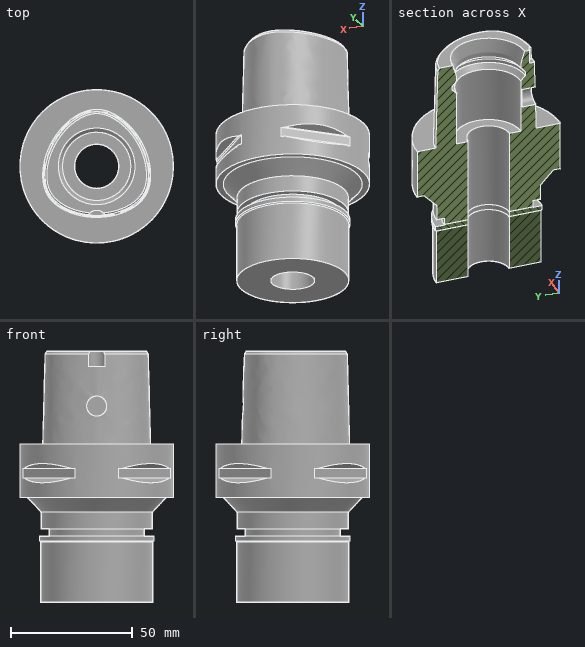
import cadquery as cq
import math


TOTAL_HEIGHT = 103.0
SHANK_LENGTH = 38.0
FLANGE_THICKNESS = 22.0
CONE_HEIGHT = 6.0
NUT_HEIGHT = 24.8
COLLAR_TOP_Z = 27.2
NECK_TOP_Z = 30.2
FLANGE_TOP_Z = TOTAL_HEIGHT - SHANK_LENGTH
FLANGE_BOTTOM_Z = FLANGE_TOP_Z - FLANGE_THICKNESS
CONE_BOTTOM_Z = FLANGE_BOTTOM_Z - CONE_HEIGHT

FLANGE_DIAMETER = 63.0
CONE_TOP_DIAMETER = 57.0
BODY_DIAMETER = 45.7
NECK_DIAMETER = 39.0
COLLAR_DIAMETER = 47.0
COLLAR_BEVEL = 0.5
NUT_DIAMETER = COLLAR_DIAMETER - 2 * COLLAR_BEVEL

SHANK_BASE_DIAMETER = 44.3
SHANK_TAPER = 1 / 20
LOBE_AMPLITUDE = 1.2
SHANK_BEVEL_HEIGHT = 1.2
SHANK_BEVEL_INSET = 0.8

THROUGH_BORE_RADIUS = 9.0
MOUTH_RADIUS = 15.7
CAVITY_RADIUS = 14.0
GROOVE_RADIUS = 16.0
MOUTH_CONE_DEPTH = 5.9
LIP_DEPTH = 7.9
GROOVE_START_DEPTH = 10.1
GROOVE_END_DEPTH = 11.8
GROOVE_CONE_END_DEPTH = 13.9
CAVITY_FLOOR_DEPTH = SHANK_LENGTH

NOTCH_RADIUS = 3.9
NOTCH_INNER_REACH = 18.0
NOTCH_DEPTH = 6.2
SIDE_HOLE_DIAMETER = 8.2
SIDE_HOLE_Z = 80.5
SIDE_HOLE_FLOOR_Y = -14.8

SLOT_COUNT = 4
SLOT_FIRST_ANGLE = 45.0
SLOT_Z = 53.0
SLOT_WIDTH = 4.0
SLOT_MOUTH_WIDTH = 7.9
SLOT_FLOOR_REACH = 27.7
SLOT_FLARE_REACH = 28.5


def revolve_profile(points):
    """Revolve an (r, z) outline about the Z axis."""
    return cq.Workplane("XZ").polyline(points).close().revolve(360, (0, 0, 0), (0, 1, 0))


def through_bore():
    return cq.Workplane("XY").circle(THROUGH_BORE_RADIUS).extrude(TOTAL_HEIGHT)


def lobed_wire(mean_radius, z):
    """Constant-width three-lobed curve with one lobe pointing along +Y."""
    def point(t):
        turn = 2 * math.pi * t
        along = (mean_radius * math.cos(turn) + 2 * LOBE_AMPLITUDE * math.cos(2 * turn)
                 - LOBE_AMPLITUDE * math.cos(4 * turn))
        across = (mean_radius * math.sin(turn) - 2 * LOBE_AMPLITUDE * math.sin(2 * turn)
                  - LOBE_AMPLITUDE * math.sin(4 * turn))
        return cq.Vector(-across, along, z)

    steps = 48
    points = [point(i / steps) for i in range(steps)]
    return cq.Wire.assembleEdges([cq.Edge.makeSpline(points, periodic=True)])


def lobed_frustum(lower_radius, lower_z, upper_radius, upper_z):
    wires = [lobed_wire(lower_radius, lower_z), lobed_wire(upper_radius, upper_z)]
    return cq.Workplane(cq.Solid.makeLoft(wires, True))


def shank():
    """Tapered three-lobed shank with a bevelled end."""
    base_radius = SHANK_BASE_DIAMETER / 2
    bevel_z = TOTAL_HEIGHT - SHANK_BEVEL_HEIGHT
    bevel_radius = base_radius - (bevel_z - FLANGE_TOP_Z) * SHANK_TAPER / 2
    taper = lobed_frustum(base_radius, FLANGE_TOP_Z, bevel_radius, bevel_z)
    bevel = lobed_frustum(bevel_radius, bevel_z, bevel_radius - SHANK_BEVEL_INSET, TOTAL_HEIGHT)
    return taper.union(bevel)


def cavity():
    """Conical mouth, lip, clamping groove and straight pocket inside the shank."""
    outline = [
        (0, 0),
        (MOUTH_RADIUS, 0),
        (CAVITY_RADIUS, MOUTH_CONE_DEPTH),
        (CAVITY_RADIUS, LIP_DEPTH),
        (GROOVE_RADIUS, GROOVE_START_DEPTH),
        (GROOVE_RADIUS, GROOVE_END_DEPTH),
        (CAVITY_RADIUS, GROOVE_CONE_END_DEPTH),
        (CAVITY_RADIUS, CAVITY_FLOOR_DEPTH),
        (0, CAVITY_FLOOR_DEPTH),
    ]
    return revolve_profile([(r, TOTAL_HEIGHT - depth) for r, depth in outline])


def key_notch():
    """Round-backed notch in the shank end, open towards -Y."""
    centre_y = -(NOTCH_INNER_REACH + NOTCH_RADIUS)
    return (
        cq.Workplane("XY", origin=(0, centre_y, TOTAL_HEIGHT - NOTCH_DEPTH))
        .circle(NOTCH_RADIUS)
        .extrude(NOTCH_DEPTH)
    )


def side_hole():
    """Blind hole running from the -Y side of the shank towards the axis."""
    return (
        cq.Workplane("XZ", origin=(0, SIDE_HOLE_FLOOR_Y, SIDE_HOLE_Z))
        .circle(SIDE_HOLE_DIAMETER / 2)
        .extrude(FLANGE_DIAMETER / 2 + SIDE_HOLE_FLOOR_Y)
    )


def gripper_slot(angle):
    """Straight slot across the flange rim with a flared mouth."""
    rim = FLANGE_DIAMETER / 2
    half_width = SLOT_WIDTH / 2
    half_mouth = SLOT_MOUTH_WIDTH / 2
    section = [
        (SLOT_FLOOR_REACH, SLOT_Z - half_width),
        (SLOT_FLARE_REACH, SLOT_Z - half_width),
        (rim, SLOT_Z - half_mouth),
        (rim, SLOT_Z + half_mouth),
        (SLOT_FLARE_REACH, SLOT_Z + half_width),
        (SLOT_FLOOR_REACH, SLOT_Z + half_width),
    ]
    slot = cq.Workplane("XZ").polyline(section).close().extrude(rim, both=True)
    return slot.rotate((0, 0, 0), (0, 0, 1), angle)


def make_housing():
    body = revolve_profile([
        (0, COLLAR_TOP_Z),
        (NECK_DIAMETER / 2, COLLAR_TOP_Z),
        (NECK_DIAMETER / 2, NECK_TOP_Z),
        (BODY_DIAMETER / 2, NECK_TOP_Z),
        (BODY_DIAMETER / 2, CONE_BOTTOM_Z),
        (CONE_TOP_DIAMETER / 2, FLANGE_BOTTOM_Z),
        (FLANGE_DIAMETER / 2, FLANGE_BOTTOM_Z),
        (FLANGE_DIAMETER / 2, FLANGE_TOP_Z),
        (0, FLANGE_TOP_Z),
    ])
    body = body.union(shank()).cut(cavity()).cut(through_bore())
    body = body.cut(key_notch()).cut(side_hole())
    for i in range(SLOT_COUNT):
        body = body.cut(gripper_slot(SLOT_FIRST_ANGLE + i * 360 / SLOT_COUNT))
    return body


def make_collar():
    """Ring between housing and nut, bevelled down to the nut diameter."""
    ring = cq.Workplane("XY", origin=(0, 0, NUT_HEIGHT)).circle(COLLAR_DIAMETER / 2)
    ring = ring.extrude(COLLAR_TOP_Z - NUT_HEIGHT).faces("<Z").chamfer(COLLAR_BEVEL)
    return ring.cut(through_bore())


def make_nut():
    nut = cq.Workplane("XY").circle(NUT_DIAMETER / 2).extrude(NUT_HEIGHT)
    return nut.cut(through_bore())


housing = make_housing()
collar = make_collar()
nut = make_nut()

result = cq.Compound.makeCompound([housing.solids().val(), collar.solids().val(), nut.solids().val()])